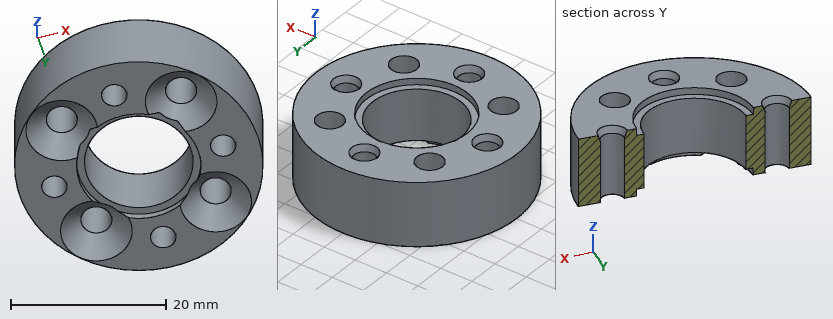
import cadquery as cq
import math

outer_diameter = 32.0
height = 10.0
bore_diameter = 14.0

recess_diameter = outer_diameter / 2
recess_depth = 1.0

hole_pitch = 16.0
bolt_circle_radius = hole_pitch / math.sqrt(2)
holes_per_set = 4
clearance_diameter = 4.0
screw_head_diameter = 9.2
screw_head_angle = 90.0
threaded_diameter = 3.25
lead_in_diameter = clearance_diameter
lead_in_depth = 1.0
lead_in_step = (lead_in_diameter - threaded_diameter) / 2
lead_in_angle = 2 * math.degrees(math.atan2(lead_in_step, lead_in_depth))


def hole_circle(plane, start_angle):
    """Place one set of hole centres on the given workplane."""
    return plane.polarArray(bolt_circle_radius, start_angle, 360, holes_per_set)


body = cq.Workplane("XY").circle(outer_diameter / 2).extrude(height)
for end_face in (">Z", "<Z"):
    body = body.faces(end_face).workplane().cboreHole(bore_diameter, recess_diameter, recess_depth)

bottom_plane = body.faces("<Z").workplane(origin=(0, 0, 0))
body = hole_circle(bottom_plane, 45).cskHole(clearance_diameter, screw_head_diameter, screw_head_angle)

top_plane = body.faces(">Z").workplane(origin=(0, 0, height))
result = hole_circle(top_plane, 0).cskHole(threaded_diameter, lead_in_diameter, lead_in_angle)